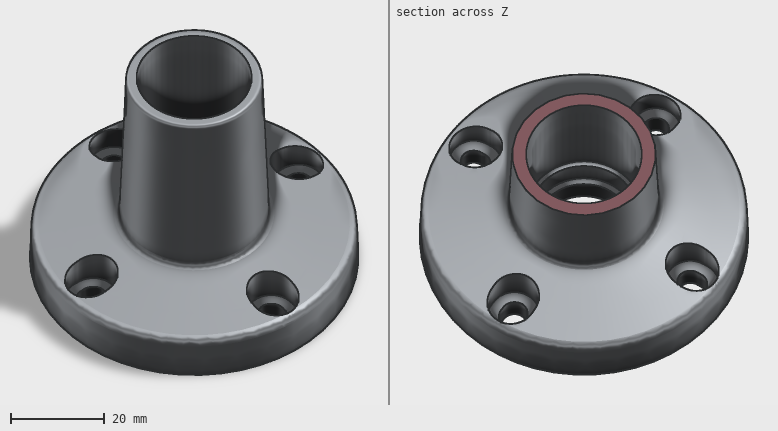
import cadquery as cq
import math

base_radius = 35.0
rim_height = 10.0
rim_fillet = 1.95

total_height = 55.0
tube_root_radius = 15.95
tube_root_height = 13.8
root_fillet = 1.5
lip_fillet = 1.0

draft_angle = 2.0

socket_radius = 12.25
step_radius = 11.1
through_radius = 9.7
socket_floor = rim_height
step_floor = 5.0

screw_count = 4
screw_circle_radius = 27.5
slot_stretch = 1.0
screw_slot_width = 5.6
counterbore_width = 10.5
counterbore_floor = 5.0


def drafted(radius, rise):
    """Radius of an outer wall after it has risen by the given height."""
    return radius - rise * math.tan(math.radians(draft_angle))


def circle_at(height):
    """Selector for the edge whose centre lies on the axis at the given height."""
    half_band = 0.1
    return cq.selectors.BoxSelector(
        (-half_band, -half_band, height - half_band),
        (half_band, half_band, height + half_band),
    )


def outer_body():
    """Solid of revolution with its three circular corners rounded."""
    rim_radius = drafted(base_radius, rim_height)
    lip_radius = drafted(tube_root_radius, total_height - tube_root_height)
    body = (
        cq.Workplane("XZ")
        .moveTo(0, 0)
        .lineTo(base_radius, 0)
        .lineTo(rim_radius, rim_height)
        .lineTo(tube_root_radius, tube_root_height)
        .lineTo(lip_radius, total_height)
        .lineTo(0, total_height)
        .close()
        .revolve(360, (0, 0), (0, 1))
    )
    corners = (
        (tube_root_height, root_fillet),
        (rim_height, rim_fillet),
        (total_height, lip_fillet),
    )
    for height, fillet_radius in corners:
        body = body.edges(circle_at(height)).fillet(fillet_radius)
    return body


def bore_cut(radius, floor):
    """Cylinder on the tube axis, open at the top."""
    return cq.Workplane("XY").workplane(offset=floor).circle(radius).extrude(total_height - floor)


def screw_slot_cut(width, floor):
    """Radially elongated slots around the flange, open upwards from the floor."""
    return (
        cq.Workplane("XY")
        .workplane(offset=floor)
        .polarArray(screw_circle_radius, 0, 360, screw_count)
        .slot2D(width + slot_stretch, width)
        .extrude(tube_root_height - floor)
    )


result = outer_body()

for radius, floor in ((socket_radius, socket_floor), (step_radius, step_floor), (through_radius, 0)):
    result = result.cut(bore_cut(radius, floor))

for width, floor in ((counterbore_width, counterbore_floor), (screw_slot_width, 0)):
    result = result.cut(screw_slot_cut(width, floor))